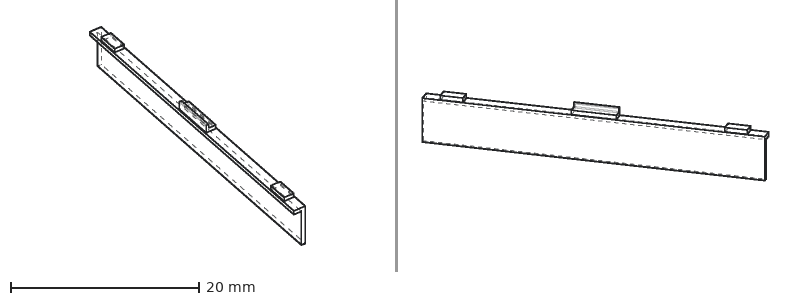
import cadquery as cq

length = 38.0
depth = 1.5
total_height = 6.0
wall = 0.5
pad_height = 0.5
pad_inset = 0.1
end_pad_length = 2.5
end_pad_offset = 1.98
catch_length = 5.0
lip_height = 0.5
lip_thickness = 0.35
lip_root_radius = 0.1
lip_tip_radius = 0.08

flange_top = total_height - pad_height - lip_height
pad_depth = depth - 2 * pad_inset
pad_top = flange_top + pad_height
end_pad_x = length / 2 - end_pad_offset - end_pad_length / 2


def make_bar():
    """L-shaped bar: a web along the back and a flange reaching forward."""
    flange_bottom = flange_top - wall
    web_front = depth - wall
    return (
        cq.Workplane("YZ")
        .moveTo(depth, 0)
        .lineTo(depth, flange_top)
        .lineTo(0, flange_top)
        .lineTo(0, flange_bottom)
        .lineTo(web_front, flange_bottom)
        .lineTo(web_front, 0)
        .close()
        .extrude(length / 2, both=True)
    )


def make_end_pad(center_x):
    """Plain rectangular pad on top of the flange."""
    return (
        cq.Workplane("XY", origin=(center_x, depth / 2, flange_top))
        .rect(end_pad_length, pad_depth)
        .extrude(pad_height)
    )


def make_catch():
    """Centre pad with an upright lip at its front, rounded along both tip edges and at the root."""
    front = pad_inset
    back = pad_inset + pad_depth
    lip_back = front + lip_thickness
    return (
        cq.Workplane("YZ")
        .moveTo(front, flange_top)
        .lineTo(front, total_height - lip_tip_radius)
        .radiusArc((front + lip_tip_radius, total_height), lip_tip_radius)
        .lineTo(lip_back - lip_tip_radius, total_height)
        .radiusArc((lip_back, total_height - lip_tip_radius), lip_tip_radius)
        .lineTo(lip_back, pad_top + lip_root_radius)
        .radiusArc((lip_back + lip_root_radius, pad_top), -lip_root_radius)
        .lineTo(back, pad_top)
        .lineTo(back, flange_top)
        .close()
        .extrude(catch_length / 2, both=True)
    )


result = make_bar().union(make_catch())
for pad_x in (-end_pad_x, end_pad_x):
    result = result.union(make_end_pad(pad_x))